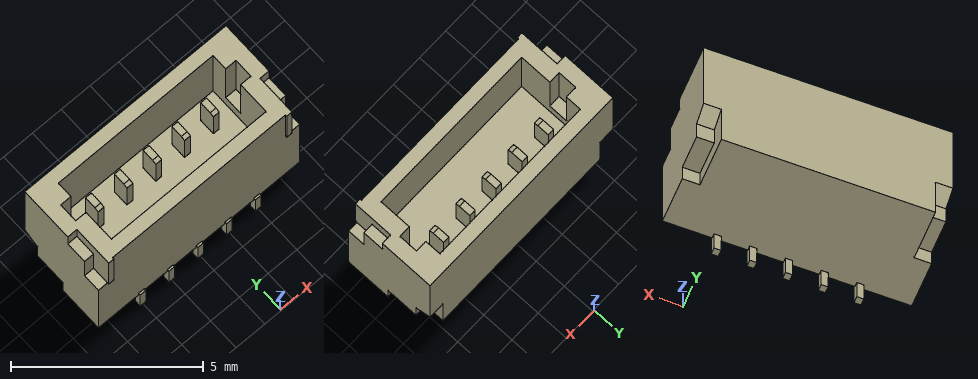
import cadquery as cq

LENGTH = 7.0
DEPTH = 2.9
HEIGHT = 4.25

END_WALL = 0.81
SIDE_WALL = 0.405
CAVITY_FLOOR = 1.7
SLOT_FLOOR = 2.17
SLOT_END_WALL = 0.455
SLOT_WIDTH = 0.59
SLOT_FROM_BACK = 0.9

NOTCH_INSET = 0.315
NOTCH_WIDE = 1.205
NOTCH_NARROW = 0.545
NOTCH_SHALLOW = 0.5
NOTCH_DEEP = 1.52

RIB_WIDTH = 0.18
RIB_PROUD = 0.05

RECESS_INSET = 0.5
RECESS_WIDE = 1.5
RECESS_NARROW = 0.5
RECESS_LOW = 0.57
RECESS_HIGH = 1.21
RECESS_BACK_HEIGHT = 1.485

PIN_COUNT = 5
PIN_PITCH = 1.0
PIN_WIDTH = 0.2
POST_FROM_BACK = 0.81
POST_DEPTH = 0.5
POST_TOP = 2.975
POST_ROOT = 0.14
POST_BEVEL_DEPTH = 0.125
POST_BEVEL_HEIGHT = 0.055
LEG_THICKNESS = 0.2
LEG_PROUD = 0.06
LEG_BELOW = 0.7
LEG_ABOVE = 0.12


def block(x_range, y_range, z_range):
    """Box spanning the given (low, high) range along each axis."""
    lows, highs = zip(x_range, y_range, z_range)
    sizes = [high - low for low, high in zip(lows, highs)]
    return cq.Workplane("XY").box(*sizes, centered=False).translate(lows)


def end_prism(profile, inset):
    """Extrude a (Y, Z) profile inward from the -X end of the housing."""
    return cq.Workplane("YZ", origin=(-LENGTH / 2, 0, 0)).polyline(profile).close().extrude(inset)


def both_ends(shape):
    """The shape together with its mirror image at the +X end."""
    return shape.union(shape.mirror("YZ"))


def cavity():
    half_length = LENGTH / 2 - END_WALL
    half_slot = LENGTH / 2 - SLOT_END_WALL
    slot_back = DEPTH - SLOT_FROM_BACK
    slot_front = slot_back - SLOT_WIDTH
    well = block((-half_length, half_length), (SIDE_WALL, DEPTH - SIDE_WALL), (CAVITY_FLOOR, HEIGHT))
    slots = block((-half_slot, half_slot), (slot_front, slot_back), (SLOT_FLOOR, HEIGHT))
    return well.union(slots)


def front_notches():
    profile = [
        (0, HEIGHT),
        (NOTCH_WIDE, HEIGHT),
        (NOTCH_WIDE, HEIGHT - NOTCH_SHALLOW),
        (NOTCH_NARROW, HEIGHT - NOTCH_SHALLOW),
        (NOTCH_NARROW, HEIGHT - NOTCH_DEEP),
        (0, HEIGHT - NOTCH_DEEP),
    ]
    return both_ends(end_prism(profile, NOTCH_INSET))


def back_recesses():
    profile = [
        (DEPTH, 0),
        (DEPTH, RECESS_BACK_HEIGHT),
        (DEPTH - RECESS_NARROW, RECESS_HIGH),
        (DEPTH - RECESS_NARROW, RECESS_LOW),
        (DEPTH - RECESS_WIDE, RECESS_LOW),
        (DEPTH - RECESS_WIDE, 0),
    ]
    return both_ends(end_prism(profile, RECESS_INSET))


def front_ribs():
    outer = -LENGTH / 2 + NOTCH_INSET
    rib = block((outer, outer + RIB_WIDTH), (-RIB_PROUD, SIDE_WALL), (HEIGHT - NOTCH_DEEP, HEIGHT))
    return both_ends(rib)


def contact(x):
    """Post and solder leg of the contact centred at x."""
    x_range = (x - PIN_WIDTH / 2, x + PIN_WIDTH / 2)
    post_back = DEPTH - POST_FROM_BACK
    post_front = post_back - POST_DEPTH
    root = CAVITY_FLOOR - POST_ROOT
    post_profile = [
        (post_front, root),
        (post_back, root),
        (post_back, POST_TOP),
        (post_front + POST_BEVEL_DEPTH, POST_TOP),
        (post_front, POST_TOP - POST_BEVEL_HEIGHT),
    ]
    post = cq.Workplane("YZ", origin=(x_range[0], 0, 0)).polyline(post_profile).close().extrude(PIN_WIDTH)
    leg = block(x_range, (-LEG_PROUD, LEG_THICKNESS - LEG_PROUD), (-LEG_BELOW, LEG_ABOVE))
    return post.union(leg)


housing = block((-LENGTH / 2, LENGTH / 2), (0, DEPTH), (0, HEIGHT))
result = housing.cut(cavity()).cut(front_notches()).cut(back_recesses()).union(front_ribs())
for index in range(PIN_COUNT):
    result = result.union(contact((index - (PIN_COUNT - 1) / 2) * PIN_PITCH))